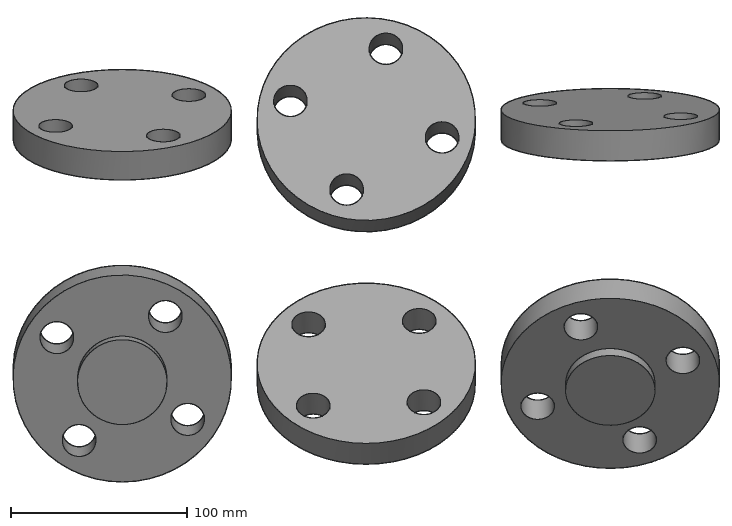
import cadquery as cq

FLANGE_DIAMETER = 123.95
OVERALL_HEIGHT = 23.88
RAISED_FACE_DIAMETER = 50.8
RAISED_FACE_HEIGHT = 6.35
FLANGE_THICKNESS = OVERALL_HEIGHT - RAISED_FACE_HEIGHT

BOLT_CIRCLE_DIAMETER = 88.9
BOLT_HOLE_DIAMETER = 19.05
BOLT_HOLE_COUNT = 4
FULL_TURN = 360


def make_raised_face():
    """Sealing disc, standing on Z = 0."""
    return cq.Workplane("XY").circle(RAISED_FACE_DIAMETER / 2).extrude(RAISED_FACE_HEIGHT)


def make_flange_disc():
    """Main disc, resting on top of the raised face."""
    return (
        cq.Workplane("XY")
        .workplane(offset=RAISED_FACE_HEIGHT)
        .circle(FLANGE_DIAMETER / 2)
        .extrude(FLANGE_THICKNESS)
    )


def make_bolt_holes():
    """Through-hole cylinders, evenly spaced on the bolt circle from the +X axis."""
    return (
        cq.Workplane("XY")
        .polarArray(BOLT_CIRCLE_DIAMETER / 2, 0, FULL_TURN, BOLT_HOLE_COUNT)
        .circle(BOLT_HOLE_DIAMETER / 2)
        .extrude(OVERALL_HEIGHT)
    )


result = make_flange_disc().union(make_raised_face()).cut(make_bolt_holes())